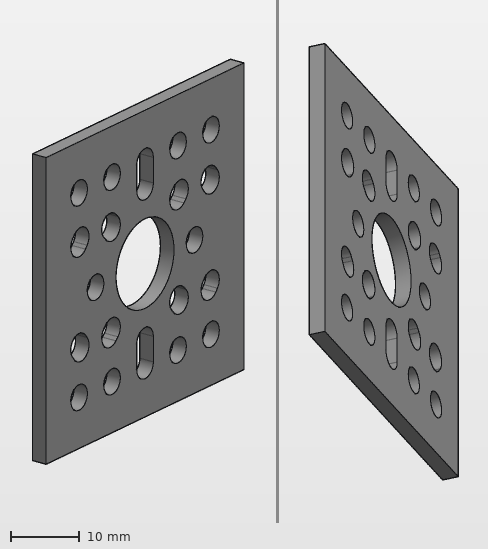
import cadquery as cq
import math

side = 48.0
thickness = 2.5

pitch = side / 6
hole_diameter = pitch / 2
bore_diameter = 14.0
ring_radius = 1.5 * pitch
ring_offset = ring_radius * math.cos(math.pi / 4)
outer_oblong_inner_y = 15.6


def round_cutter(y, z, diameter):
    """Cylinder along X through the whole plate."""
    return (
        cq.Workplane("YZ", origin=(-thickness / 2, 0, 0))
        .center(y, z)
        .circle(diameter / 2)
        .extrude(thickness)
    )


def slot_cutter(start, end):
    """Slot through the plate with its end centres at two (y, z) points."""
    dy = end[0] - start[0]
    dz = end[1] - start[1]
    centre_distance = math.hypot(dy, dz)
    angle = math.degrees(math.atan2(dz, dy))
    return (
        cq.Workplane("YZ", origin=(-thickness / 2, 0, 0))
        .center((start[0] + end[0]) / 2, (start[1] + end[1]) / 2)
        .slot2D(centre_distance + hole_diameter, hole_diameter, angle)
        .extrude(thickness)
    )


result = cq.Workplane("XY").box(thickness, side, side)

result = result.cut(round_cutter(0, 0, bore_diameter))

for sign in (-1, 1):
    result = result.cut(round_cutter(sign * ring_radius, 0, hole_diameter))

    result = result.cut(slot_cutter((0, sign * ring_radius), (0, sign * 2 * pitch)))

for y_sign in (-1, 1):
    for z_sign in (-1, 1):
        for column in (1, 2):
            y = y_sign * column * pitch
            z = z_sign * 2 * pitch
            result = result.cut(round_cutter(y, z, hole_diameter))

        for column, end_y in ((1, ring_offset), (2, outer_oblong_inner_y)):
            grid_point = (y_sign * column * pitch, z_sign * pitch)
            diagonal_point = (y_sign * end_y, z_sign * ring_offset)
            result = result.cut(slot_cutter(grid_point, diagonal_point))